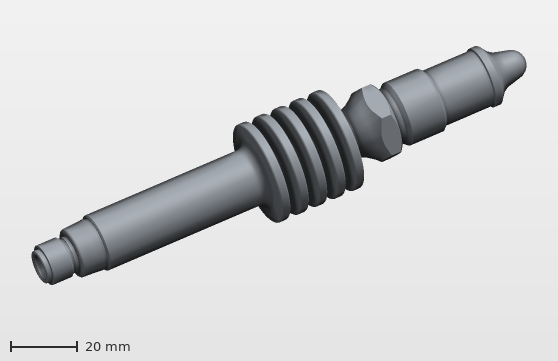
import cadquery as cq
import math

length = 165.1

bore_radius = 4.0
bore_depth = 13.2
bore_mouth_chamfer = 0.5
plug_radius = 3.0
plug_height = 1.7
plug_flat_distance = 2.0
plug_flat_angles = (135, 225)

lip_radius = 5.3
lip_end = 1.7
lip_chamfer = 0.25
thread_radius = 6.5
thread_end = 8.6
thread_chamfer = 0.5
shoulder_radius = 5.8
undercut_radius = 5.5
undercut_start = 8.9
undercut_end = 9.5

collar_start = 10.7
collar_small_radius = 15.7 / 2
collar_large_radius = 8.3
collar_round = 0.8
collar_end = 18.2

relief_radius = 8.1
handle_radius = 18.0 / 2
handle_start = 19.0
handle_chamfer = 0.5
handle_flare = 2.6

fin_count = 5
fin_radius = 16.0
fin_width = 3.1
fin_pitch = 6.3
fin_round = 0.7
first_fin_center = 75.6
first_fin_taper = 0.5
fin_core_radius = 12.0 / 2
neck_radius = 14.7 / 2
neck_flare = 2.8

hex_sides = 6
hex_across_flats = 22.3
hex_front = 117.7
hex_chamfer_angle = 40.0
hex_face_radius = 10.9
waist_middle = (9.0, 109.0)
hex_back_corner = 113.1

spigot_end = 120.2
sleeve_radius = 10.2
sleeve_start = 121.7
sleeve_end = 132.7
barrel_start = 134.0

ring_radius = 9.5
ring_start = 150.4
ring_end = 152.9
ring_chamfer = 0.3
nose_base_radius = 7.8
nose_base = 154.0
nose_cone_radius = 5.6
nose_cone_start = 157.0
nose_flare_radius = 6.6
nose_radius = 4.6
nose_half_angle = 13.0


def turned(outline):
    """Revolve an outline of radius and Y position about the Y axis."""
    return outline.close().revolve(360, (0, 0, 0), (0, 1, 0))


def make_rear():
    """Threaded end, tapered collar and handle, up to the tapered face of the first fin."""
    fin_face = first_fin_center - fin_width / 2
    outline = (
        cq.Workplane("XY")
        .lineTo(lip_radius - lip_chamfer, 0)
        .lineTo(lip_radius, lip_chamfer)
        .lineTo(lip_radius, lip_end)
        .lineTo(thread_radius, lip_end)
        .lineTo(thread_radius, thread_end - thread_chamfer)
        .lineTo(thread_radius - thread_chamfer, thread_end)
        .lineTo(shoulder_radius, thread_end)
        .lineTo(shoulder_radius, undercut_start)
        .lineTo(undercut_radius, undercut_start)
        .lineTo(undercut_radius, undercut_end)
        .lineTo(shoulder_radius, undercut_end)
        .lineTo(shoulder_radius, collar_start)
        .lineTo(collar_small_radius - collar_round, collar_start)
        .radiusArc((collar_small_radius, collar_start + collar_round), -collar_round)
        .lineTo(collar_large_radius, collar_end)
        .lineTo(relief_radius, collar_end)
        .lineTo(relief_radius, handle_start)
        .lineTo(handle_radius - handle_chamfer, handle_start)
        .lineTo(handle_radius, handle_start + handle_chamfer)
        .lineTo(handle_radius, fin_face - first_fin_taper - handle_flare)
        .radiusArc((handle_radius + handle_flare, fin_face - first_fin_taper), handle_flare)
        .lineTo(fin_radius - fin_round, fin_face)
        .lineTo(0, fin_face)
    )
    return turned(outline)


def make_fin(center):
    """Flat disc with a rounded rim."""
    fin = cq.Workplane("XZ", origin=(0, center - fin_width / 2, 0)).circle(fin_radius).extrude(-fin_width)
    return fin.edges().fillet(fin_round)


def make_gap_core(start):
    """Core between two fins, its surface hollowed to a full half-round groove."""
    gap = fin_pitch - fin_width
    root_radius = gap / 2
    outline = (
        cq.Workplane("XY")
        .moveTo(0, start)
        .lineTo(fin_core_radius + root_radius, start)
        .threePointArc((fin_core_radius, start + root_radius), (fin_core_radius + root_radius, start + gap))
        .lineTo(0, start + gap)
    )
    return turned(outline)


def make_fins():
    """Stack of fins joined by hollowed cores."""
    stack = make_fin(first_fin_center)
    for index in range(1, fin_count):
        center = first_fin_center + index * fin_pitch
        gap_start = center - fin_pitch + fin_width / 2
        stack = stack.union(make_gap_core(gap_start)).union(make_fin(center))
    return stack


def make_hexagon():
    """Neck, waist and hexagon, both hexagon ends trimmed by turned surfaces."""
    neck_start = first_fin_center + (fin_count - 1) * fin_pitch + fin_width / 2
    flat_radius = hex_across_flats / 2
    corner_radius = flat_radius / math.cos(math.pi / hex_sides)
    chamfer_height = (corner_radius - hex_face_radius) * math.tan(math.radians(hex_chamfer_angle))
    envelope = turned(
        cq.Workplane("XY")
        .moveTo(0, neck_start)
        .lineTo(neck_radius + neck_flare, neck_start)
        .radiusArc((neck_radius, neck_start + neck_flare), neck_flare)
        .threePointArc(waist_middle, (corner_radius, hex_back_corner))
        .lineTo(corner_radius, hex_front - chamfer_height)
        .lineTo(hex_face_radius, hex_front)
        .lineTo(0, hex_front)
    )
    prism = (
        cq.Workplane("XZ", origin=(0, neck_start, 0))
        .polygon(hex_sides, 2 * corner_radius)
        .extrude(neck_start - hex_front)
    )
    return envelope.intersect(prism)


def make_front():
    """Sleeve, barrel, front collar and rounded nose."""
    half_angle = math.radians(nose_half_angle)
    nose_center = length - nose_radius
    nose_joint = (
        nose_radius * math.cos(half_angle),
        nose_center + nose_radius * math.sin(half_angle),
    )
    outline = (
        cq.Workplane("XY")
        .moveTo(0, hex_front)
        .lineTo(handle_radius, hex_front)
        .lineTo(handle_radius, spigot_end)
        .lineTo(sleeve_radius, sleeve_start)
        .lineTo(sleeve_radius, sleeve_end)
        .lineTo(handle_radius, barrel_start)
        .lineTo(handle_radius, ring_start - ring_chamfer)
        .lineTo(ring_radius, ring_start)
        .lineTo(ring_radius, ring_end - ring_chamfer)
        .lineTo(ring_radius - ring_chamfer, ring_end)
        .lineTo(nose_base_radius, nose_base)
        .radiusArc((nose_cone_radius, nose_cone_start), nose_flare_radius)
        .lineTo(*nose_joint)
        .radiusArc((0, length), -nose_radius)
    )
    return turned(outline)


def make_bore():
    """Chamfered blind socket that leaves a domed plug with two flats standing at its bottom."""
    bore = turned(
        cq.Workplane("XY")
        .lineTo(bore_radius + bore_mouth_chamfer, 0)
        .lineTo(bore_radius, bore_mouth_chamfer)
        .lineTo(bore_radius, bore_depth)
        .lineTo(0, bore_depth)
    )
    dome_radius = (plug_radius**2 + plug_height**2) / (2 * plug_height)
    plug = turned(
        cq.Workplane("XY")
        .moveTo(0, bore_depth)
        .lineTo(plug_radius, bore_depth)
        .radiusArc((0, bore_depth - plug_height), dome_radius)
    )
    for angle in plug_flat_angles:
        size = 2 * plug_radius
        cutter = (
            cq.Workplane("XY")
            .box(size, size, 2 * size)
            .translate((plug_flat_distance + size / 2, bore_depth, 0))
            .rotate((0, 0, 0), (0, 1, 0), angle)
        )
        plug = plug.cut(cutter)
    return bore.cut(plug)


result = make_rear().union(make_fins()).union(make_hexagon()).union(make_front()).cut(make_bore())